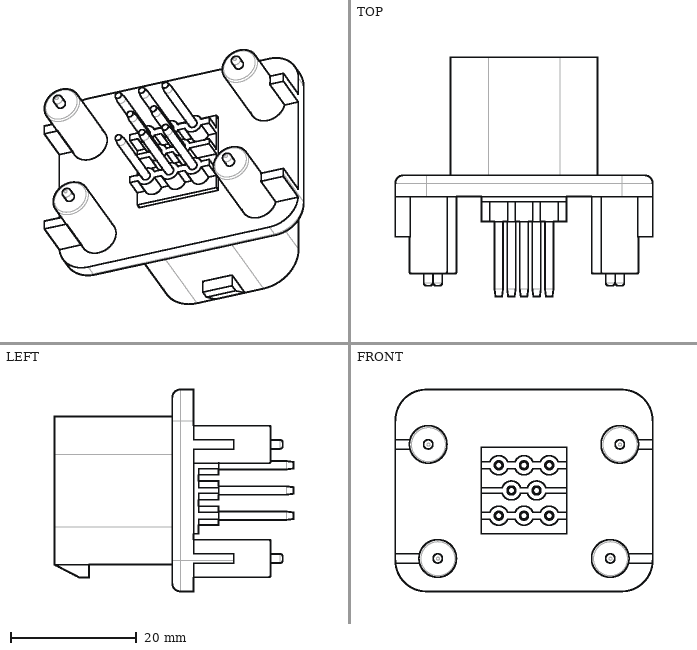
import cadquery as cq

plate_width = 40.9
plate_height = 32.1
plate_thickness = 3.4
plate_corner_radius = 4.95
plate_rim_radius = 1.3

shell_width = 23.4
shell_height = 23.55
shell_depth = 18.75
shell_corner_radius = 6.0

latch_width = 5.0
latch_length = 5.52
latch_drop = 2.05
latch_flat = 1.55

post_radius = 3.0
post_length = 12.25
post_edge_radius = 0.3
peg_radius = 0.75
peg_length = 1.92
peg_tip_radius = 0.5
upper_post_x, upper_post_z = 15.2, 7.32
lower_post_x, lower_post_z = 13.7, -10.8
rib_height = 1.5
rib_length = 6.42

pad_width = 13.55
pad_height = 13.8
pad_thickness = 0.8
collar_radius = 1.5
collar_end = 3.95
outer_bar_height = 1.1
middle_bar_height = 0.95

pin_pitch = 4.0
pin_radius = 0.7
pin_end = 15.9
pin_tip_length = 1.23
pin_tip_radius = 0.55
pin_rows = [
    (pin_pitch, 3, outer_bar_height),
    (0.0, 2, middle_bar_height),
    (-pin_pitch, 3, outer_bar_height),
]


def front_plane(x=0.0, z=0.0, distance=0.0):
    """Workplane facing -Y, the given distance in front of the plate."""
    return cq.Workplane("XZ", origin=(x, -distance, z))


def rounded_block(width, height, length, corner_radius):
    """Block with rounded corners from Y = 0 toward +Y, or toward -Y for a negative length."""
    return front_plane().rect(width, height).extrude(-length).edges("|Y").fillet(corner_radius)


def make_plate():
    plate = rounded_block(plate_width, plate_height, plate_thickness, plate_corner_radius)
    return plate.faces(">Y").edges().fillet(plate_rim_radius)


def make_shell():
    return rounded_block(shell_width, shell_height, plate_thickness + shell_depth, shell_corner_radius)


def make_latch():
    end_y = plate_thickness + shell_depth
    heel_y = end_y - latch_length
    bottom_z = -shell_height / 2
    profile = [
        (end_y, bottom_z),
        (heel_y + latch_flat, bottom_z - latch_drop),
        (heel_y, bottom_z - latch_drop),
        (heel_y, 0),
        (end_y, 0),
    ]
    return cq.Workplane("YZ").polyline(profile).close().extrude(latch_width / 2, both=True)


def make_post(x, z):
    post = front_plane(x, z).circle(post_radius).extrude(post_length)
    post = post.faces("<Y").edges().fillet(post_edge_radius)
    peg = front_plane(x, z, post_length).circle(peg_radius).extrude(peg_length)
    peg = peg.faces("<Y").edges().fillet(peg_tip_radius)
    return post.union(peg)


def make_ribs(post_x, z):
    """Bars from the left and right posts of one row out to the rounded plate outline."""
    rib_span = plate_width / 2 - post_x
    rib_middle = post_x + rib_span / 2
    ribs = (
        front_plane(0, z)
        .pushPoints([(-rib_middle, 0), (rib_middle, 0)])
        .rect(rib_span, rib_height)
        .extrude(rib_length)
    )
    outline = rounded_block(plate_width, plate_height, -rib_length, plate_corner_radius)
    return ribs.intersect(outline)


def make_pin(x, z):
    shank = front_plane(x, z).circle(pin_radius).extrude(pin_end - pin_tip_length)
    tip = (
        front_plane(x, z, pin_end - pin_tip_length)
        .circle(pin_radius)
        .workplane(offset=pin_tip_length)
        .circle(pin_tip_radius)
        .loft()
    )
    return shank.union(tip)


def make_contact_row(z, count, bar_height):
    row = front_plane(0, z).rect(pad_width, bar_height).extrude(collar_end)
    for i in range(count):
        x = (i - (count - 1) / 2) * pin_pitch
        collar = front_plane(x, z).circle(collar_radius).extrude(collar_end)
        row = row.union(collar).union(make_pin(x, z))
    return row


result = make_plate().union(make_shell()).union(make_latch())
for post_x, post_z in ((upper_post_x, upper_post_z), (lower_post_x, lower_post_z)):
    result = result.union(make_ribs(post_x, post_z))
    for side in (-1, 1):
        result = result.union(make_post(side * post_x, post_z))

result = result.union(front_plane().rect(pad_width, pad_height).extrude(pad_thickness))
for row_z, pin_count, bar_height in pin_rows:
    result = result.union(make_contact_row(row_z, pin_count, bar_height))